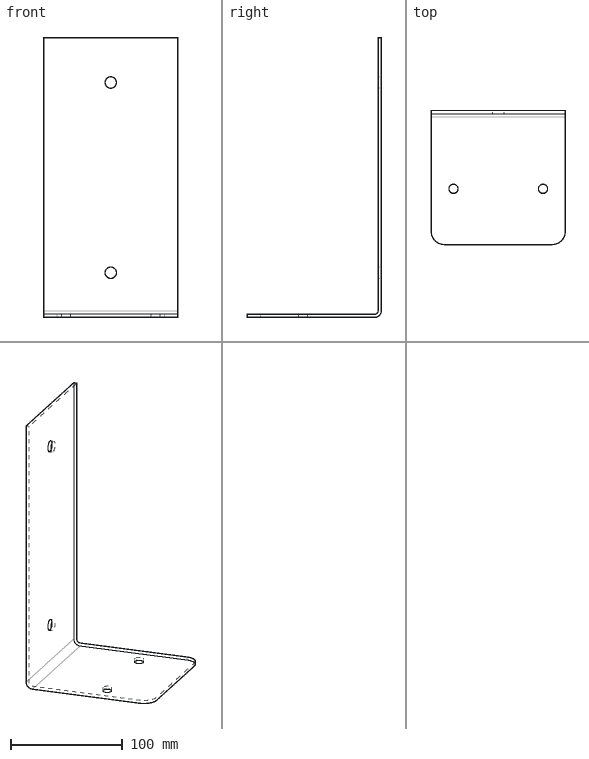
import cadquery as cq

width = 120.0
depth = 120.0
height = 250.0

thickness = 3.0
inner_bend_radius = 3.0
outer_bend_radius = inner_bend_radius + thickness
corner_radius = 12.0

wall_hole_diameter = 10.0
wall_hole_end_distance = 40.0

base_hole_diameter = 8.0
base_hole_side_distance = 20.0
base_hole_front_distance = 50.0

back = depth
wall_front = back - thickness


def bent_sheet():
    """L-shaped sheet, extruded across the width and centred on X = 0."""
    profile = (
        cq.Workplane("YZ")
        .polyline(
            [
                (0, 0),
                (back, 0),
                (back, height),
                (wall_front, height),
                (wall_front, thickness),
                (0, thickness),
            ]
        )
        .close()
    )
    sheet = profile.extrude(width / 2, both=True)
    sheet = sheet.edges(cq.selectors.NearestToPointSelector((0, back, 0))).fillet(outer_bend_radius)
    inner_corner = cq.selectors.NearestToPointSelector((0, wall_front, thickness))
    return sheet.edges(inner_corner).fillet(inner_bend_radius)


def wall_holes():
    """Cutters through the upright wall, one near each end."""
    return (
        cq.Workplane("XZ", origin=(0, back, 0))
        .pushPoints([(0, wall_hole_end_distance), (0, height - wall_hole_end_distance)])
        .circle(wall_hole_diameter / 2)
        .extrude(thickness)
    )


def base_holes():
    """Cutters through the base, one near each side."""
    hole_x = width / 2 - base_hole_side_distance
    return (
        cq.Workplane("XY")
        .pushPoints([(-hole_x, base_hole_front_distance), (hole_x, base_hole_front_distance)])
        .circle(base_hole_diameter / 2)
        .extrude(thickness)
    )


bracket = bent_sheet().faces("<Y").edges("|Z").fillet(corner_radius)
result = bracket.cut(wall_holes()).cut(base_holes())